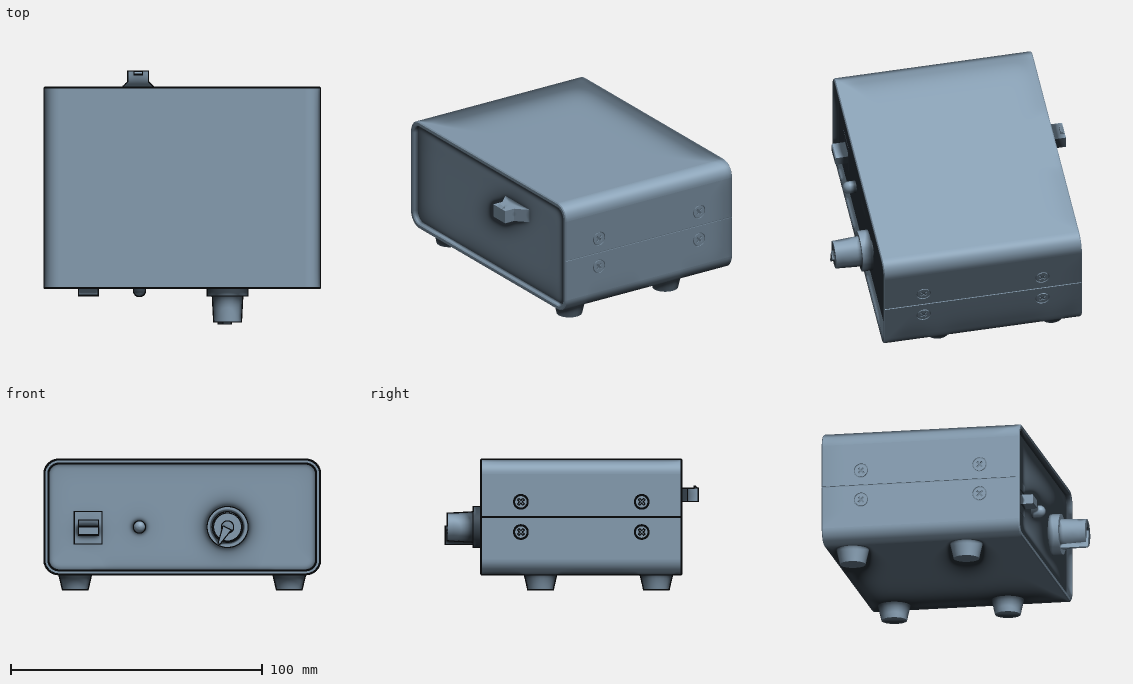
import cadquery as cq
import math

case_width = 110.0
case_depth = 80.0
case_height = 46.0
corner_radius = 6.0
rim_width = 2.0
rim_chamfer = 0.4
panel_recess = 2.2
seam_width = 0.4
seam_depth = 0.4
seam_z = case_height / 2
front_y = -case_depth / 2
rear_y = case_depth / 2
front_panel_y = front_y + panel_recess
rear_panel_y = rear_y - panel_recess
root_depth = 1.0

foot_top_diameter = 13.0
foot_bottom_diameter = 10.2
foot_height = 6.0
foot_x = 42.5
foot_rows_y = (-16.2, 29.8)

screw_hole_diameter = 5.8
screw_head_diameter = 5.0
screw_gap_depth = 0.5
screw_y = 24.0
screw_offset_z = 6.0
cross_length = 3.0
cross_width = 0.8
cross_depth = 0.5

control_z = 19.0
switch_x = -37.3
switch_z = 18.7
bezel_width = 10.9
bezel_height = 13.0
bezel_gap = 0.2
bezel_step = 0.1
window_width = 8.0
window_height = 6.2
window_depth = 0.4
lever_height = 3.8
lever_bevel = 0.4
lever_tip_y = front_y - 3.0

led_x = -17.0
led_diameter = 4.9
led_tip_flat_radius = 0.01
led_tip_y = front_y - 3.2

knob_x = 18.0
skirt_diameter = 16.3
skirt_length = 4.2
skirt_front_y = front_y - 3.0
shaft_diameter = 8.0
grip_base_diameter = 12.2
grip_tip_diameter = 11.1
grip_front_y = front_y - 13.3
cap_diameter = 4.9
cap_depth = 0.3
pointer_front_y = front_y - 14.1
pointer_reach = 7.6
pointer_base_width = 3.7
pointer_tip_width = 0.8
pointer_back = 0.4
pointer_angle = 243.0

plug_x = -17.5
plug_width = 8.3
plug_bottom_z = 29.1
plug_height = 5.3
plug_rear_y = rear_y + 6.5
flare_start_y = rear_y + 2.2
latch_width = 3.4
latch_height = 0.8
latch_length = 1.5
latch_inset = 0.2
latch_ramp_length = 1.0


def front_plane(y, x=0.0, z=0.0):
    """Sketch plane facing -Y: local x is +X and local y is +Z."""
    return cq.Workplane("XZ", origin=(x, y, z))


def make_case():
    case = (
        front_plane(rear_y, z=case_height / 2)
        .rect(case_width, case_height)
        .extrude(case_depth)
        .edges("|Y")
        .fillet(corner_radius)
    )
    opening_width = case_width - 2 * rim_width
    opening_height = case_height - 2 * rim_width
    for opening_back_y in (front_panel_y, rear_y):
        opening = (
            front_plane(opening_back_y, z=case_height / 2)
            .rect(opening_width, opening_height)
            .extrude(panel_recess)
            .edges("|Y")
            .fillet(corner_radius - rim_width)
        )
        case = case.cut(opening)
    case = case.faces("<Y or >Y").edges().chamfer(rim_chamfer)
    seam = (
        cq.Workplane("XY", origin=(0, 0, seam_z))
        .rect(case_width, case_depth)
        .rect(case_width - 2 * seam_depth, case_depth)
        .extrude(seam_width / 2, both=True)
    )
    return case.cut(seam)


def cut_screws(case):
    """Flush screw heads, each in a ring gap and with a cross recess, on both sides."""
    for side in (-1, 1):
        for y in (-screw_y, screw_y):
            for z in (seam_z - screw_offset_z, seam_z + screw_offset_z):
                face = cq.Workplane("YZ", origin=(side * case_width / 2, y, z))
                ring = (
                    face.circle(screw_hole_diameter / 2)
                    .circle(screw_head_diameter / 2)
                    .extrude(-side * screw_gap_depth)
                )
                case = case.cut(ring)
                for angle in (-45, 45):
                    bar = (
                        face.transformed(rotate=(0, 0, angle))
                        .rect(cross_length, cross_width)
                        .extrude(-side * cross_depth)
                    )
                    case = case.cut(bar)
    return case


def make_feet():
    radius_growth = (foot_top_diameter - foot_bottom_diameter) / 2
    foot_flare = math.degrees(math.atan2(radius_growth, foot_height))
    return (
        cq.Workplane("XY", origin=(0, 0, -foot_height))
        .pushPoints([(x, y) for x in (-foot_x, foot_x) for y in foot_rows_y])
        .circle(foot_bottom_diameter / 2)
        .extrude(foot_height, taper=-foot_flare)
    )


def add_switch(case):
    cutout = (
        front_plane(front_panel_y + bezel_step, switch_x - bezel_gap / 2, switch_z)
        .rect(bezel_width + bezel_gap, bezel_height)
        .extrude(bezel_step)
    )
    bezel = (
        front_plane(front_panel_y + bezel_step, switch_x, switch_z)
        .rect(bezel_width, bezel_height)
        .extrude(2 * bezel_step)
    )
    window = (
        front_plane(front_panel_y + window_depth, switch_x, switch_z)
        .rect(window_width, window_height)
        .extrude(window_depth + bezel_step)
    )
    lever_root_y = front_panel_y + window_depth + root_depth
    lever_bottom_z = switch_z - window_height / 2
    lever = (
        front_plane(lever_root_y, switch_x, lever_bottom_z + lever_height / 2)
        .rect(window_width, lever_height)
        .extrude(lever_root_y - lever_tip_y)
        .faces("<Y")
        .edges("|X")
        .chamfer(lever_bevel)
    )
    return case.cut(cutout).union(bezel).cut(window).union(lever)


def make_led():
    root_y = front_panel_y + root_depth
    return (
        front_plane(root_y, led_x, control_z)
        .circle(led_diameter / 2)
        .extrude(root_y - led_tip_y)
        .faces("<Y")
        .edges()
        .fillet(led_diameter / 2 - led_tip_flat_radius)
    )


def make_knob():
    root_y = front_panel_y + root_depth
    shaft = (
        front_plane(root_y, knob_x, control_z)
        .circle(shaft_diameter / 2)
        .extrude(root_y - skirt_front_y)
    )
    skirt = (
        front_plane(skirt_front_y + skirt_length, knob_x, control_z)
        .circle(skirt_diameter / 2)
        .extrude(skirt_length)
    )
    grip_length = skirt_front_y - grip_front_y
    grip_taper = math.degrees(math.atan2((grip_base_diameter - grip_tip_diameter) / 2, grip_length))
    grip = (
        front_plane(skirt_front_y, knob_x, control_z)
        .circle(grip_base_diameter / 2)
        .extrude(grip_length, taper=grip_taper)
    )
    cap_recess = (
        front_plane(grip_front_y + cap_depth, knob_x, control_z)
        .circle(cap_diameter / 2)
        .extrude(cap_depth)
    )
    pointer = (
        front_plane(skirt_front_y, knob_x, control_z)
        .transformed(rotate=(0, 0, pointer_angle))
        .moveTo(pointer_back, -pointer_base_width / 2)
        .lineTo(pointer_reach, -pointer_tip_width / 2)
        .lineTo(pointer_reach, pointer_tip_width / 2)
        .lineTo(pointer_back, pointer_base_width / 2)
        .close()
        .extrude(skirt_front_y - pointer_front_y)
    )
    return shaft.union(skirt).union(grip).cut(cap_recess).union(pointer)


def make_plug():
    root_y = rear_panel_y - root_depth
    half_width = plug_width / 2
    flare_half_width = half_width + flare_start_y - rear_panel_y
    body = (
        cq.Workplane("XY", origin=(plug_x, 0, plug_bottom_z))
        .moveTo(-flare_half_width, root_y)
        .lineTo(-flare_half_width, rear_panel_y)
        .lineTo(-half_width, flare_start_y)
        .lineTo(-half_width, plug_rear_y)
        .lineTo(half_width, plug_rear_y)
        .lineTo(half_width, flare_start_y)
        .lineTo(flare_half_width, rear_panel_y)
        .lineTo(flare_half_width, root_y)
        .close()
        .extrude(plug_height)
    )
    latch = (
        cq.Workplane("YZ", origin=(plug_x, plug_rear_y - latch_inset, plug_bottom_z + plug_height))
        .lineTo(-latch_ramp_length, latch_height)
        .lineTo(-latch_length, latch_height)
        .lineTo(-latch_length, 0)
        .close()
        .extrude(latch_width / 2, both=True)
    )
    return body.union(latch)


body = add_switch(cut_screws(make_case()))
result = body.union(make_feet()).union(make_led()).union(make_knob()).union(make_plug())